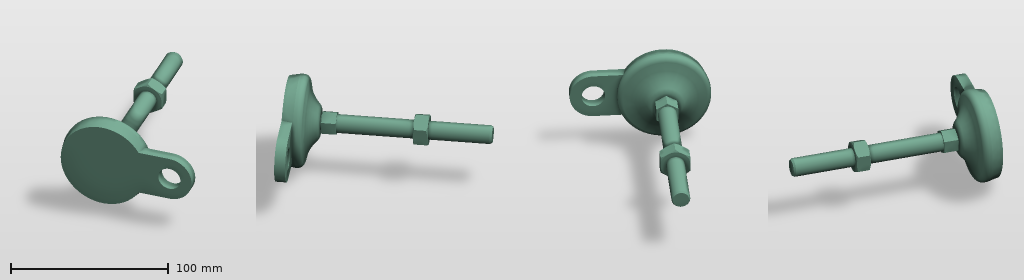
import cadquery as cq
import math

total_length = 132.0

foot_radius = 30.0
sole_radius = 28.5
taper_height = 7.5
rim_height = 9.2
rim_round = 4.0
flank_radius = 25.0
crown_round = 6.0
rim_slope = math.radians(7.5)
crown_slope = math.radians(45.0)

lug_thickness = 7.0
lug_radius = 15.0
lug_offset = 45.0
lug_hole_diameter = 15.0

neck_diameter = 10.0
rod_diameter = 12.0
rod_tip_diameter = 10.4
rod_tip_length = 1.3

drive_flats = 14.0
drive_bottom = 23.0
drive_height = 9.3
nut_flats = 19.0
nut_bottom = 82.0
nut_height = 9.3
hexagon_half_angle = 30.0
nut_chamfer_angle = math.radians(30.0)


def along_axis(y):
    """Workplane facing +Y at height y above the sole; local x is global X."""
    return cq.Workplane("XZ", origin=(0, y, 0)).transformed(rotate=(180, 0, 0))


def arc_point(center, radius, slope, side):
    """Point of an arc where it falls outward at `slope`; side is +1 convex, -1 concave."""
    return (
        center[0] + side * radius * math.sin(slope),
        center[1] + side * radius * math.cos(slope),
    )


def make_foot():
    """Revolved plate: tapered sole, straight rim, then three tangent arcs up to a flat crown."""
    rim_mid_slope = (rim_slope + math.pi / 2) / 2
    flank_mid_slope = (rim_slope + crown_slope) / 2
    rim_center = (foot_radius - rim_round, rim_height)
    flank_center = arc_point(rim_center, rim_round + flank_radius, rim_slope, 1)
    crown_center = arc_point(flank_center, flank_radius + crown_round, crown_slope, -1)

    profile = (
        cq.Workplane("XY")
        .lineTo(sole_radius, 0)
        .lineTo(foot_radius, taper_height)
        .lineTo(foot_radius, rim_height)
        .threePointArc(
            arc_point(rim_center, rim_round, rim_mid_slope, 1),
            arc_point(rim_center, rim_round, rim_slope, 1),
        )
        .threePointArc(
            arc_point(flank_center, flank_radius, flank_mid_slope, -1),
            arc_point(flank_center, flank_radius, crown_slope, -1),
        )
        .threePointArc(
            arc_point(crown_center, crown_round, crown_slope / 2, 1),
            arc_point(crown_center, crown_round, 0, 1),
        )
        .lineTo(0, crown_center[1] + crown_round)
        .close()
    )
    return profile.revolve(360, (0, 0, 0), (0, 1, 0))


def make_lug():
    """Flat tongue with a round end, flush with the sole."""
    arm = (
        along_axis(0)
        .center(lug_offset / 2, 0)
        .rect(lug_offset, 2 * lug_radius)
        .extrude(lug_thickness)
    )
    end = along_axis(0).center(lug_offset, 0).circle(lug_radius).extrude(lug_thickness)
    return arm.union(end)


def make_lug_hole():
    """Cutter for the through hole, concentric with the round end of the lug."""
    return along_axis(0).center(lug_offset, 0).circle(lug_hole_diameter / 2).extrude(lug_thickness)


def make_spindle():
    """Neck inside the foot, then the rod with a tapered tip."""
    neck_radius = neck_diameter / 2
    rod_radius = rod_diameter / 2
    outline = [
        (0, lug_thickness),
        (neck_radius, lug_thickness),
        (neck_radius, drive_bottom),
        (rod_radius, drive_bottom),
        (rod_radius, total_length - rod_tip_length),
        (rod_tip_diameter / 2, total_length),
        (0, total_length),
    ]
    return cq.Workplane("XY").polyline(outline).close().revolve(360, (0, 0, 0), (0, 1, 0))


def make_hexagon(flats, bottom, height):
    """Hexagonal prism with corners on the Z axis and flats facing +X and -X."""
    corner_diameter = flats / math.cos(math.radians(hexagon_half_angle))
    prism = along_axis(bottom).polygon(6, corner_diameter).extrude(height)
    return prism.rotate((0, 0, 0), (0, 1, 0), hexagon_half_angle)


def make_nut():
    """Lock nut: hexagon with its corners turned off conically at both ends."""
    face_radius = nut_flats / 2
    corner_radius = face_radius / math.cos(math.radians(hexagon_half_angle))
    chamfer_height = (corner_radius - face_radius) * math.tan(nut_chamfer_angle)
    nut_top = nut_bottom + nut_height
    outline = [
        (0, nut_bottom),
        (face_radius, nut_bottom),
        (corner_radius, nut_bottom + chamfer_height),
        (corner_radius, nut_top - chamfer_height),
        (face_radius, nut_top),
        (0, nut_top),
    ]
    envelope = cq.Workplane("XY").polyline(outline).close().revolve(360, (0, 0, 0), (0, 1, 0))
    return make_hexagon(nut_flats, nut_bottom, nut_height).intersect(envelope)


result = (
    make_foot()
    .union(make_lug())
    .cut(make_lug_hole())
    .union(make_spindle())
    .union(make_hexagon(drive_flats, drive_bottom, drive_height))
    .union(make_nut())
)